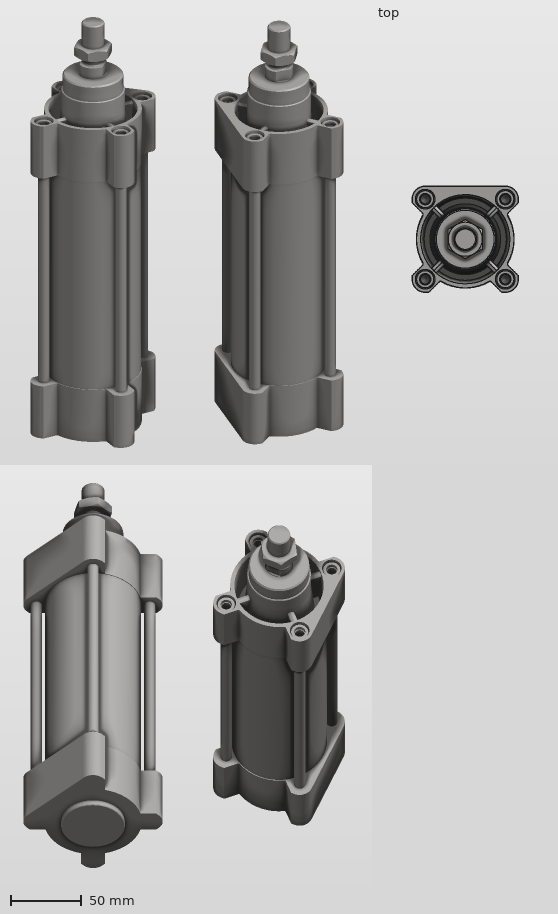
import cadquery as cq
import math


total_height = 318.1
spigot_height = 4.2
cover_height = 41.0
rod_projection = 68.3

rear_cover_bottom = spigot_height
rear_cover_top = rear_cover_bottom + cover_height
front_cover_top = total_height - rod_projection
front_cover_bottom = front_cover_top - cover_height

cover_size = 75.0
bolt_spacing = 56.5
diagonal_angles = (45, 135)
lug_width = 16.6
lug_root_fillet = 1.0
cover_diameter = 69.0
barrel_diameter = 68.0
tie_rod_diameter = 8.0

counterbore_diameter = 13.9
counterbore_depth = 6.0
sleeve_diameter = 12.0
sleeve_drop = 2.0
sleeve_bore_diameter = 8.0
sleeve_bore_depth = 5.0
tap_drill_diameter = 6.65
tap_drill_depth = 20.0
drill_point_angle = 118.0

collar_diameter = 45.0
collar_step_height = 15.7
collar_height = 27.8
collar_nose_diameter = 43.0
collar_nose_chamfer = 1.0
collar_nose_tip_diameter = 42.8
collar_base_diameter = 50.0
recess_top_diameter = 63.0
recess_floor_diameter = 58.0
recess_depth = 28.0
rib_width = 4.6
rib_crown = 1.0
rib_arc_rise = 0.65
rib_drop = 1.6
collar_chamfer = 0.5

rod_diameter = 20.0
rod_across_flats = 17.0
thread_diameter = 16.0
thread_length = 32.0
thread_tip_diameter = 14.38
thread_core_diameter = 13.9
thread_start_height = 6.0
undercut_diameter = 13.2
undercut_length = 2.5
undercut_foot_diameter = 14.95
undercut_foot_height = 0.9
flats_clearance = 0.6

nut_across_flats = 24.0
nut_height = 8.0
nut_drop = 25.9
nut_chamfer_angle = 30.0
hexagon_sides = 6
hexagon_half_angle = 180 / hexagon_sides

nut_bottom = total_height - nut_drop
rod_shoulder = total_height - thread_length
collar_top = front_cover_top + collar_height
rod_bottom = front_cover_bottom


def cylinder(diameter, bottom, top):
    return cq.Workplane("XY").workplane(offset=bottom).circle(diameter / 2).extrude(top - bottom)


def cone(bottom_diameter, top_diameter, bottom, top):
    solid = cq.Solid.makeCone(
        bottom_diameter / 2, top_diameter / 2, top - bottom, cq.Vector(0, 0, bottom)
    )
    return cq.Workplane(obj=solid)


def bolt_points():
    half = bolt_spacing / 2
    return [(x, y) for x in (-half, half) for y in (-half, half)]


def is_lug_root(edge):
    """True for an upright edge on the round wall, where a lug side or the web meets it."""
    centre = edge.Center()
    return math.isclose(math.hypot(centre.x, centre.y), cover_diameter / 2, rel_tol=1e-3)


def cover(bottom):
    """Round cover with four diagonal lugs, the two on the +Y side joined by a web with a flat +Y face."""
    top = bottom + cover_height
    envelope = (
        cq.Workplane("XY")
        .workplane(offset=bottom)
        .rect(cover_size, cover_size)
        .extrude(cover_height)
        .edges("|Z")
        .fillet((cover_size - bolt_spacing) / 2)
    )
    arms = cylinder(cover_diameter, bottom, top)
    for angle in diagonal_angles:
        arm = (
            cq.Workplane("XY")
            .workplane(offset=bottom)
            .transformed(rotate=(0, 0, angle))
            .rect(2 * cover_size, lug_width)
            .extrude(cover_height)
        )
        arms = arms.union(arm)
    web = (
        cq.Workplane("XY")
        .workplane(offset=bottom)
        .polyline([(0, 0), (cover_size / 2, cover_size / 2), (-cover_size / 2, cover_size / 2)])
        .close()
        .extrude(cover_height)
    )
    body = arms.union(web).intersect(envelope)
    roots = body.edges("|Z").filter(is_lug_root)
    return roots.fillet(lug_root_fillet)


def screw_holes():
    """Counterbores that each leave a sleeve standing around a stepped, drilled hole."""
    bore_floor = front_cover_top - sleeve_bore_depth
    drill_floor = front_cover_top - tap_drill_depth
    point = tap_drill_diameter / 2 / math.tan(math.radians(drill_point_angle / 2))
    hole = cylinder(counterbore_diameter, front_cover_top - counterbore_depth, front_cover_top)
    hole = hole.cut(
        cylinder(sleeve_diameter, front_cover_top - counterbore_depth, front_cover_top - sleeve_drop)
    )
    hole = hole.union(cylinder(sleeve_bore_diameter, bore_floor, front_cover_top))
    hole = hole.union(cylinder(tap_drill_diameter, drill_floor, bore_floor))
    hole = hole.union(cone(0, tap_drill_diameter, drill_floor - point, drill_floor))
    return [hole.translate((x, y, 0)) for x, y in bolt_points()]


def front_recess():
    """Tapered ring recess around the collar, crossed by four diagonal ribs with ridged tops."""
    floor = front_cover_top - recess_depth
    recess = cone(recess_floor_diameter, recess_top_diameter, floor, front_cover_top)
    recess = recess.cut(cone(collar_base_diameter, collar_diameter, floor, front_cover_top))
    rib_top = front_cover_top - rib_drop
    rib_shoulder = rib_top - rib_crown
    rib_half_width = rib_width / 2
    arc_middle = rib_shoulder + rib_arc_rise * rib_crown
    rib = (
        cq.Workplane("XZ", origin=(0, cover_size / 2, 0))
        .moveTo(-rib_half_width, floor)
        .lineTo(-rib_half_width, rib_shoulder)
        .threePointArc((-rib_half_width / 2, arc_middle), (0, rib_top))
        .threePointArc((rib_half_width / 2, arc_middle), (rib_half_width, rib_shoulder))
        .lineTo(rib_half_width, floor)
        .close()
        .extrude(cover_size)
    )
    for angle in diagonal_angles:
        recess = recess.cut(rib.rotate((0, 0, 0), (0, 0, 1), angle))
    return recess


def front_collar():
    """Stepped collar with a slightly tapered nose."""
    step = front_cover_top + collar_step_height
    base = cylinder(collar_diameter, front_cover_top - recess_depth, step)
    base = base.faces(">Z").chamfer(collar_chamfer)
    nose = cone(collar_nose_diameter, collar_nose_tip_diameter, step, collar_top)
    nose = nose.faces(">Z").chamfer(collar_nose_chamfer)
    return base.union(nose)


def build_housing():
    """Covers, barrel, tie rods, spigot and collar, bored for the rod."""
    body = cylinder(barrel_diameter, rear_cover_top, front_cover_bottom)
    body = body.union(cover(rear_cover_bottom)).union(cover(front_cover_bottom))
    tie_rods = (
        cq.Workplane("XY")
        .workplane(offset=rear_cover_top)
        .pushPoints(bolt_points())
        .circle(tie_rod_diameter / 2)
        .extrude(front_cover_bottom - rear_cover_top)
    )
    spigot = cylinder(collar_diameter, 0, spigot_height)
    spigot = spigot.faces("<Z").chamfer(collar_chamfer)
    body = body.union(tie_rods).union(spigot)
    body = body.cut(front_recess()).union(front_collar())
    for hole in screw_holes():
        body = body.cut(hole)
    return body.cut(cylinder(rod_diameter, rod_bottom, collar_top))


def build_rod():
    """Rod with wrench flats on its X sides, an undercut and a threaded end."""
    rod = cylinder(rod_diameter, rod_bottom, rod_shoulder)
    flats_bottom = collar_top + flats_clearance
    beside_flats = (
        cq.Workplane("XY")
        .workplane(offset=flats_bottom)
        .rect(rod_across_flats, 2 * rod_diameter)
        .rect(3 * rod_diameter, 3 * rod_diameter)
        .extrude(rod_shoulder - flats_bottom)
    )
    rod = rod.cut(beside_flats)
    undercut_top = rod_shoulder + undercut_length
    thread_start = rod_shoulder + thread_start_height
    undercut = cylinder(undercut_diameter, rod_shoulder, undercut_top)
    foot_top = rod_shoulder + undercut_foot_height
    foot = cone(undercut_foot_diameter, undercut_diameter, rod_shoulder, foot_top)
    core = cylinder(thread_core_diameter, undercut_top, thread_start)
    tip_chamfer = (thread_diameter - thread_tip_diameter) / 2
    thread = cylinder(thread_diameter, thread_start, total_height)
    thread = thread.faces(">Z").chamfer(tip_chamfer)
    return rod.union(undercut).union(foot).union(core).union(thread)


def build_nut():
    """Hexagon nut with flats facing X and corners chamfered at both ends."""
    corner_diameter = nut_across_flats / math.cos(math.radians(hexagon_half_angle))
    hexagon = (
        cq.Workplane("XY")
        .workplane(offset=nut_bottom)
        .transformed(rotate=(0, 0, hexagon_half_angle))
        .polygon(hexagon_sides, corner_diameter)
        .extrude(nut_height)
    )
    corner_trim = (corner_diameter - nut_across_flats) / 2
    corner_drop = corner_trim * math.tan(math.radians(nut_chamfer_angle))
    rounding = cylinder(corner_diameter, nut_bottom, nut_bottom + nut_height)
    rounding = rounding.faces("<Z or >Z").chamfer(corner_drop, corner_trim)
    bore = cylinder(thread_diameter, nut_bottom, nut_bottom + nut_height)
    return hexagon.intersect(rounding).cut(bore)


housing = build_housing()
rod = build_rod()
nut = build_nut()

result = cq.Compound.makeCompound([housing.val(), rod.val(), nut.val()])